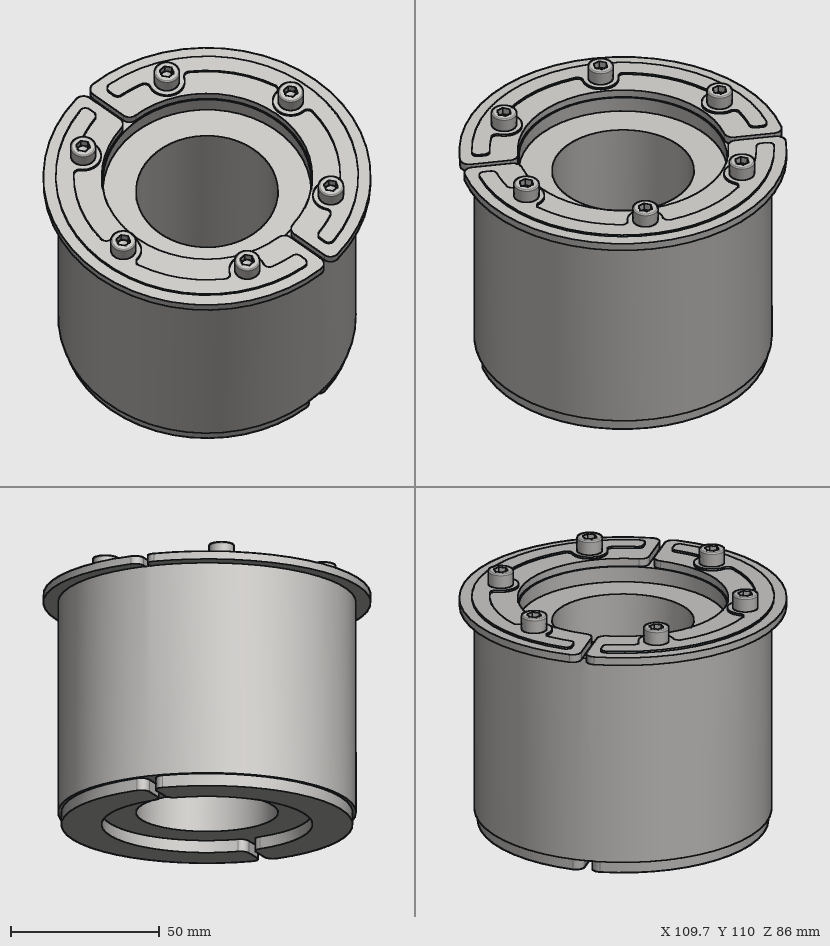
import cadquery as cq
import math

body_radius = 50.0
body_height = 73.2
bore_radius = 23.9
recess_radius = 35.0
recess_depth = 5.5

plate_inner_radius = 35.4
plate_corner_radius = 3.1
flange_radius = 55.0
flange_thickness = 2.8
flange_gap = 1.9
foot_radius = 49.0
foot_thickness = 4.2
foot_gap = 2.6

rim_outer_radius = 50.8
rim_inner_radius = 44.8
rim_height = 0.7
rim_gap = 10.1
rim_corner_radius = 2.0
lobe_radius = 6.0

screw_circle_radius = 42.5
screw_count = 6
half_screw_angles = (30, 90, 150)
head_diameter = 8.5
head_height = 5.1
head_edge_radius = 0.4
socket_flats = 4.2
socket_depth = 2.5
socket_tip_height = 1.1

body_bottom = foot_thickness
body_top = body_bottom + body_height
flange_top = body_top + flange_thickness
rim_top = flange_top + rim_height
head_top = rim_top + head_height


def screw_point(angle):
    """Centre of the screw at the given angle in degrees."""
    turn = math.radians(angle)
    return (screw_circle_radius * math.cos(turn), screw_circle_radius * math.sin(turn))


def keep_half(shape, radius, bottom, thickness, gap):
    """Part of a shape on the +Y side of the split, half the gap away from it."""
    half_space = (
        cq.Workplane("XY", origin=(0, gap / 2, bottom))
        .rect(2 * radius, 2 * radius)
        .extrude(thickness)
        .translate((0, radius, 0))
    )
    return shape.intersect(half_space)


def both_halves(half):
    """A half together with its mirror image across the split."""
    return half.union(half.mirror("XZ"))


def split_plate(outer_radius, bottom, thickness, gap):
    """Two half rings with rounded corners, separated by a gap."""
    ring = (
        cq.Workplane("XY", origin=(0, 0, bottom))
        .circle(outer_radius)
        .circle(plate_inner_radius)
        .extrude(thickness)
    )
    half = keep_half(ring, outer_radius, bottom, thickness, gap)
    return both_halves(half.edges("|Z").fillet(plate_corner_radius))


def raised_rim():
    """Two half rims, each carrying three screw lobes."""
    base = cq.Workplane("XY", origin=(0, 0, flange_top))
    ring = base.circle(rim_outer_radius).circle(rim_inner_radius).extrude(rim_height)
    half = keep_half(ring, rim_outer_radius, flange_top, rim_height, rim_gap)
    lobe_centres = [screw_point(angle) for angle in half_screw_angles]
    lobes = base.pushPoints(lobe_centres).circle(lobe_radius).extrude(rim_height)
    half = half.union(lobes)
    return both_halves(half.edges("|Z").fillet(rim_corner_radius))


def screw_head():
    """Cylindrical head on the axis, with a hexagon socket ending in a cone."""
    head = (
        cq.Workplane("XY", origin=(0, 0, rim_top))
        .circle(head_diameter / 2)
        .extrude(head_height)
        .faces(">Z")
        .edges()
        .fillet(head_edge_radius)
    )
    socket_corners = socket_flats / math.cos(math.pi / 6)
    socket = (
        cq.Workplane("XY", origin=(0, 0, head_top))
        .transformed(rotate=(0, 0, 90))
        .polygon(6, socket_corners)
        .extrude(-socket_depth)
    )
    tip = cq.Workplane("XY").add(
        cq.Solid.makeCone(
            socket_flats / 2,
            0,
            socket_tip_height,
            cq.Vector(0, 0, head_top - socket_depth),
            cq.Vector(0, 0, -1),
        )
    )
    return head.cut(socket).cut(tip)


sleeve = (
    cq.Workplane("XY", origin=(0, 0, body_bottom))
    .circle(body_radius)
    .circle(bore_radius)
    .extrude(body_height)
)
recess = cq.Workplane("XY", origin=(0, 0, body_top)).circle(recess_radius).extrude(-recess_depth)
result = sleeve.cut(recess)

result = result.union(split_plate(foot_radius, 0, foot_thickness, foot_gap))
result = result.union(split_plate(flange_radius, body_top, flange_thickness, flange_gap))
result = result.union(raised_rim())

head = screw_head()
for index in range(screw_count):
    x, y = screw_point(half_screw_angles[0] + index * 360 / screw_count)
    result = result.union(head.translate((x, y, 0)))